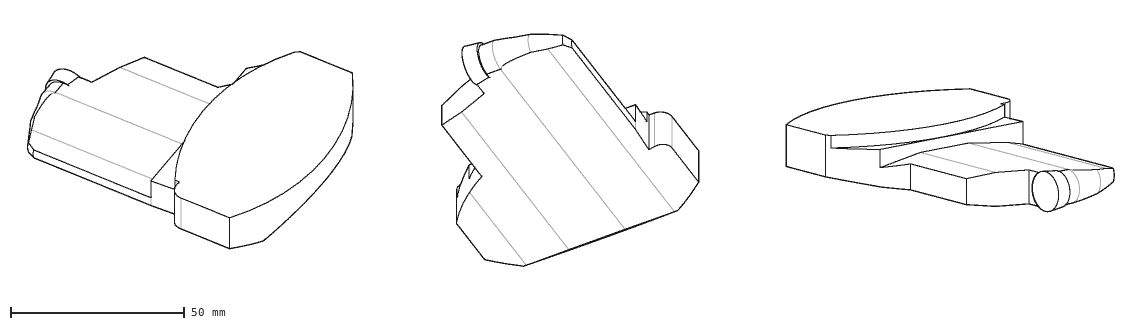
import cadquery as cq


head_half_width = 35.02
head_top = 12.0
head_right = 84.7
lens_left = 44.45
lens_radius = 61.0
rim_thickness = 3.7
head_face_x = 44.3
end_left = 56.2
notch_x = 53.5
notch_y = -29.4
corner_radius = 3.8
shoulder_x = 38.9
shoulder_sagitta = 1.2
chamfer_start_x = 76.9

blade_half_thickness = 5.055
flat_half_width = 9.2
crease_y = 24.2
crease_half_thickness = 2.9
rim_half_thickness = 0.41
blade_back_y = 17.5
blade_edge_y = -30.0
blade_back_left = 14.2
step_x = 7.0

nose_radius = 5.0
nose_start_y = -0.2
nose_stations = [
    (0.1, nose_start_y),
    (0.1, -flat_half_width),
    (2.7, -19.5),
    (7.0, -28.4),
    (9.8, blade_edge_y),
]

plug_x = -0.5
plug_radius = 5.9
plug_inner_radius = 5.42
plug_length = 4.7


def extrude_plan(outline, bottom, top):
    return outline.extrude(top - bottom).translate((0, 0, bottom))


def thickness_profile(upper_heights):
    """Solid along X with the tapered underside and the given upper edge."""
    lower = [
        (-head_half_width, -rim_half_thickness),
        (-crease_y, -crease_half_thickness),
        (-flat_half_width, -blade_half_thickness),
        (flat_half_width, -blade_half_thickness),
        (crease_y, -crease_half_thickness),
        (head_half_width, -rim_half_thickness),
    ]
    start_x = plug_x - plug_radius
    return (cq.Workplane("YZ").polyline(lower + upper_heights).close()
            .extrude(head_right - start_x).translate((start_x, 0, 0)))


def make_nose():
    """Ruled run of circles that rounds the -X edge of the blade."""
    first_x, first_y = nose_stations[0]
    nose = cq.Workplane("XZ", origin=(first_x, first_y, 0)).circle(nose_radius)
    for (x, y), (next_x, next_y) in zip(nose_stations, nose_stations[1:]):
        nose = nose.workplane(offset=y - next_y).center(next_x - x, 0).circle(nose_radius)
    return nose.loft(ruled=True)


def make_blade():
    plan = (
        cq.Workplane("XY")
        .polyline(nose_stations + [
            (head_face_x, blade_edge_y),
            (head_face_x, blade_back_y),
            (blade_back_left, blade_back_y),
            (step_x, nose_start_y),
        ])
        .close()
    )
    slab = extrude_plan(plan, -blade_half_thickness, blade_half_thickness)
    upper = [
        (head_half_width, rim_half_thickness),
        (crease_y, crease_half_thickness),
        (flat_half_width, blade_half_thickness),
        (-flat_half_width, blade_half_thickness),
        (-crease_y, crease_half_thickness),
        (-head_half_width, rim_half_thickness),
    ]
    shoulder = extrude_plan(head_outline(), -blade_half_thickness, blade_half_thickness)
    return slab.union(make_nose()).union(shoulder).intersect(thickness_profile(upper))


def head_outline():
    right_center_x = head_right - lens_radius
    end_right = right_center_x + (lens_radius**2 - head_half_width**2) ** 0.5
    corner_start = (notch_x, corner_radius - head_half_width)
    corner_end = (notch_x + corner_radius, -head_half_width)
    return (
        cq.Workplane("XY")
        .moveTo(shoulder_x, blade_back_y)
        .sagittaArc((end_left, head_half_width), shoulder_sagitta)
        .lineTo(end_right, head_half_width)
        .threePointArc((head_right, 0), (end_right, -head_half_width))
        .lineTo(*corner_end)
        .radiusArc(corner_start, corner_radius)
        .lineTo(notch_x, notch_y)
        .lineTo(head_face_x, blade_edge_y)
        .lineTo(head_face_x, blade_back_y)
        .close()
    )


def make_head():
    head = extrude_plan(head_outline(), -blade_half_thickness, head_top)
    upper = [(head_half_width, head_top), (-head_half_width, head_top)]
    head = head.intersect(thickness_profile(upper))

    depth = head_right - head_face_x
    height = head_top + blade_half_thickness
    behind_face = (cq.Workplane("XY").box(depth, 2 * head_half_width, height, centered=(False, True, False))
                   .translate((head_face_x, 0, -blade_half_thickness)))
    head = head.intersect(behind_face)

    ledge_bottom = head_top - rim_thickness
    ledge = (cq.Workplane("XY").box(end_left - head_face_x, head_half_width - notch_y, rim_thickness,
                                    centered=False)
             .translate((head_face_x, notch_y, ledge_bottom)))
    edge_sliver = (cq.Workplane("XY").box(notch_x - head_face_x, notch_y - blade_edge_y, rim_thickness,
                                          centered=False)
                   .translate((head_face_x, blade_edge_y, ledge_bottom)))
    lens = extrude_plan(
        cq.Workplane("XY").center(lens_left + lens_radius, 0).circle(lens_radius), ledge_bottom, head_top)
    return head.cut(ledge.union(edge_sliver).cut(lens))


def make_chamfer_cutter():
    rise = head_right - chamfer_start_x
    return (cq.Workplane("XZ")
            .polyline([(chamfer_start_x, -blade_half_thickness),
                       (head_right, -blade_half_thickness),
                       (head_right, rise - blade_half_thickness)])
            .close().extrude(head_half_width, both=True))


def make_plug():
    return (cq.Workplane("XZ", origin=(plug_x, 0, 0)).circle(plug_radius)
            .workplane(offset=plug_length).circle(plug_inner_radius).loft())


plug = make_plug()
holder = make_blade().union(make_head()).cut(make_chamfer_cutter()).cut(plug)

result = cq.Compound.makeCompound([holder.val(), plug.val()])